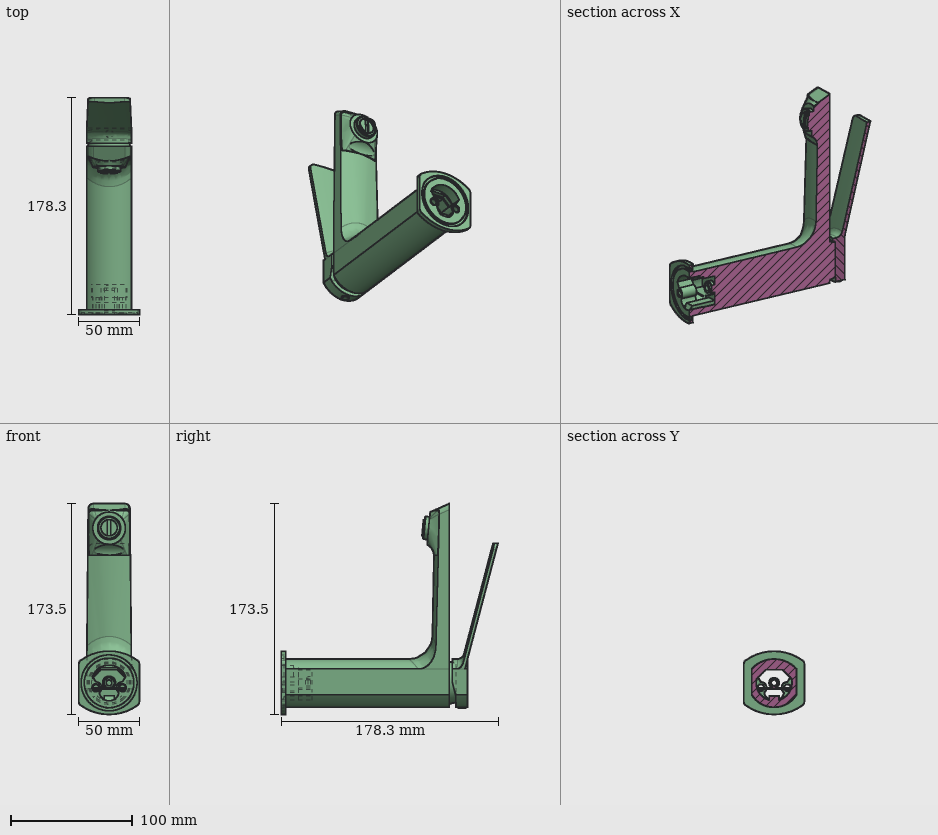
import cadquery as cq
import math

total_length = 178.31
total_height = 173.53

flange_width = 50.0
flange_height = 52.2
flange_thickness = 4.0
flange_corner_z = 17.3
flange_corner_radius = 4.0
ring_groove_outer_radius = 23.0
ring_groove_inner_radius = 20.4
ring_groove_depth = 2.0

column_half_width = 18.5
column_crest_z = 19.7
column_side_top_z = 11.4
column_side_bottom_z = -9.7
column_bottom_z = -20.2
column_end_y = 138.3

arm_tip_z = total_height - flange_height / 2
arm_tip_half_width = 17.2
arm_base_edge_y = 126.8
arm_base_crest_y = 123.7
arm_tip_edge_y = 130.3
arm_tip_crest_y = 126.3
arm_inner_radius = 19.0
tip_slope = 24.2
tip_corner_radius = 4.4

outlet_z = 127.1
outlet_y = 121.2
outlet_radius = 13.4
outlet_tilt = 5.4
head_bottom_z = 97.0
throat_z = 104.7
throat_y = 125.45
throat_radius = 10.0
head_root_y = 130.5
rim_angles = (-135, -45, 34, 40, 140, 146, 225)

aerator_radius = 9.5
aerator_length = 4.0
aerator_bevel = 0.8
insert_radius = 6.7
insert_height = 0.9
coin_slot_width = 3.0
coin_slot_depth = 1.5

cap_base_radius = 17.5
cap_end_radius = 16.3
cap_length = 5.3

pocket_radius = 14.6
pocket_corner_z = 5.2
pocket_lobe_z = -6.6
pocket_lobe_radius = 8.2
pocket_depth = 25.0
ledges = [(12.3, 10.0), (10.7, 14.0)]
ledge_flat_x = 6.8
neck_depth = 14.0
partition_thickness = 1.0
screw_x = 10.9
screw_z = -4.0
screw_points = [(-screw_x, screw_z), (screw_x, screw_z)]
screw_radius = 3.2
screw_core_radius = 2.6
screw_mouth_depth = 1.0
screw_wall_radius = 4.8
spigot_radius = 5.4
spigot_bore_radius = 2.4
spigot_flat_z = -4.2
spigot_length = 5.0
spigot_collar_length = 3.0
spigot_tip_radius = 4.2
spigot_bore_depth = 4.0
ramp_half_width = 4.1
ramp_top_z = -10.7
ramp_run = 3.0

lever_front_y = 140.8
lever_back_y = 153.3
lever_relief_y = 143.6
lever_relief_top_z = 0.0
lever_relief_bottom_z = -11.0
handle_tip_z = 114.8
handle_thickness_y = 4.15
handle_bow = 1.4
handle_tip_half_width = 17.3
handle_corner_radius = 5.0
handle_inner_radius = 5.5
button_y = 148.7
button_radius = 3.2
button_height = 0.7
button_bevel = 0.4


def along_y(y):
    """Sketch plane facing +Y at the given y; local x is -X and local y is Z."""
    return cq.Workplane(cq.Plane((0, y, 0), xDir=(-1, 0, 0), normal=(0, 1, 0)))


def column_section(y_start, y_end):
    """Prism along Y with flat sides and bowed top and bottom."""
    return (
        along_y(y_start)
        .moveTo(-column_half_width, column_side_bottom_z)
        .lineTo(-column_half_width, column_side_top_z)
        .threePointArc((0, column_crest_z), (column_half_width, column_side_top_z))
        .lineTo(column_half_width, column_side_bottom_z)
        .threePointArc((0, column_bottom_z), (-column_half_width, column_side_bottom_z))
        .close()
        .extrude(y_end - y_start)
    )


def flange():
    half_width = flange_width / 2
    half_height = flange_height / 2
    plate = (
        along_y(0)
        .moveTo(-half_width, -flange_corner_z)
        .lineTo(-half_width, flange_corner_z)
        .threePointArc((0, half_height), (half_width, flange_corner_z))
        .lineTo(half_width, -flange_corner_z)
        .threePointArc((0, -half_height), (-half_width, -flange_corner_z))
        .close()
        .extrude(flange_thickness)
        .edges("|Y")
        .fillet(flange_corner_radius)
    )
    groove = (
        along_y(0)
        .circle(ring_groove_outer_radius)
        .circle(ring_groove_inner_radius)
        .extrude(ring_groove_depth)
    )
    return plate.cut(groove)


def bowed_slice(z, half_width, back_y, edge_y, crest_y):
    """Horizontal slice with flat back and sides and a bowed front."""
    return (
        cq.Workplane("XY", origin=(0, 0, z))
        .moveTo(-half_width, back_y)
        .lineTo(-half_width, edge_y)
        .threePointArc((0, crest_y), (half_width, edge_y))
        .lineTo(half_width, back_y)
        .close()
        .wire()
        .val()
    )


def bowed_joint(body, crest_y):
    """Edge where a bowed front rises from the bowed top of the column section."""
    middles = [(edge, edge.positionAt(0.5)) for edge in body.edges().vals()]
    joint = [
        edge for edge, middle in middles
        if abs(middle.z - column_crest_z) < 0.1 and abs(middle.y - crest_y) < 0.5
    ]
    return body.newObject(joint)


def arm():
    slices = [
        bowed_slice(column_side_top_z, column_half_width, column_end_y, arm_base_edge_y, arm_base_crest_y),
        bowed_slice(arm_tip_z, arm_tip_half_width, column_end_y, arm_tip_edge_y, arm_tip_crest_y),
    ]
    above_slant = (
        cq.Workplane("YZ")
        .moveTo(column_end_y, arm_tip_z)
        .lineTo(0, slant_z(0))
        .lineTo(0, arm_tip_z)
        .close()
        .extrude(column_half_width, both=True)
    )
    end_corners = cq.selectors.BoxSelector(
        (-column_half_width, arm_tip_crest_y, slant_z(arm_tip_crest_y) - 1),
        (column_half_width, column_end_y, arm_tip_z),
    )
    return (
        cq.Workplane(cq.Solid.makeLoft(slices, True))
        .cut(above_slant)
        .edges(end_corners)
        .edges("not(|X)")
        .edges("<X or >X")
        .fillet(tip_corner_radius)
    )


def arm_half_width(z):
    """Half the width of the tapering arm at height z."""
    rise = (z - column_side_top_z) / (arm_tip_z - column_side_top_z)
    return column_half_width + rise * (arm_tip_half_width - column_half_width)


def slant_z(y):
    """Height of the slanted spout end at the given y."""
    return arm_tip_z - (column_end_y - y) * math.tan(math.radians(tip_slope))


def column_with_arm():
    """Column and spout arm with the round between them along their bowed faces."""
    column = column_section(flange_thickness, column_end_y).union(arm())
    return bowed_joint(column, arm_base_crest_y).fillet(arm_inner_radius)


def outlet_plane():
    """Tilted plane of the outlet, looking away from the arm."""
    tilt = math.radians(outlet_tilt)
    return cq.Plane(
        (0, outlet_y, outlet_z),
        xDir=(1, 0, 0),
        normal=(0, -math.cos(tilt), math.sin(tilt)),
    )


def mouth_point(angle):
    """Point on the outlet rim, angle in degrees from +X."""
    turn = math.radians(angle)
    return outlet_radius * math.cos(turn), outlet_radius * math.sin(turn)


def head():
    """Flared head running from the front of the arm to the round outlet."""
    top_z = slant_z(arm_tip_edge_y)
    round_z = top_z - tip_corner_radius
    flat_x = arm_tip_half_width - tip_corner_radius
    corner_step = tip_corner_radius * math.sqrt(0.5)
    bottom_x = arm_half_width(head_bottom_z)
    root = (
        cq.Workplane("XZ", origin=(0, head_root_y, 0))
        .moveTo(-bottom_x, head_bottom_z)
        .lineTo(bottom_x, head_bottom_z)
        .lineTo(arm_tip_half_width, round_z)
        .threePointArc((flat_x + corner_step, round_z + corner_step), (flat_x, top_z))
        .lineTo(-flat_x, top_z)
        .threePointArc((-flat_x - corner_step, round_z + corner_step), (-arm_tip_half_width, round_z))
        .close()
        .wire()
        .val()
    )
    rim = cq.Workplane(outlet_plane()).moveTo(*mouth_point(rim_angles[0]))
    for start, end in zip(rim_angles, rim_angles[1:]):
        rim = rim.threePointArc(mouth_point((start + end) / 2), mouth_point(end))
    mouth = rim.wire().val()
    throat = (
        cq.Workplane("YZ")
        .moveTo(throat_y - throat_radius, throat_z)
        .circle(throat_radius)
        .extrude(outlet_radius + arm_tip_half_width, both=True)
    )
    below = (
        cq.Workplane("XY", origin=(0, 0, throat_z))
        .rect(4 * arm_tip_half_width, 4 * column_end_y)
        .extrude(head_bottom_z - throat_z)
    )
    return cq.Workplane(cq.Solid.makeLoft([root, mouth], True)).cut(throat).cut(below)


def aerator():
    """Bevelled disc with a raised round insert split by a coin slot."""
    disc = (
        cq.Workplane(outlet_plane())
        .circle(aerator_radius)
        .extrude(aerator_length)
        .faces("<Y")
        .chamfer(aerator_bevel)
    )
    insert = cq.Workplane(outlet_plane()).circle(insert_radius).extrude(aerator_length + insert_height)
    slot = (
        cq.Workplane(outlet_plane())
        .workplane(offset=aerator_length + insert_height - coin_slot_depth)
        .rect(coin_slot_width, 2 * insert_radius)
        .extrude(coin_slot_depth)
    )
    return disc.union(insert).cut(slot)


def cap():
    """Tapered cartridge cap on the back of the column."""
    return (
        along_y(column_end_y)
        .circle(cap_base_radius)
        .workplane(offset=cap_length)
        .circle(cap_end_radius)
        .loft(combine=True)
    )


def supply_pocket():
    """Pocket in the flange face with a shallow top ledge and a ramp at the bottom."""
    corner_x = math.sqrt(pocket_radius ** 2 - pocket_corner_z ** 2)
    screw_wall_top_z = screw_z + screw_wall_radius
    upper = (
        along_y(0)
        .moveTo(-corner_x, pocket_corner_z)
        .threePointArc((0, pocket_radius), (corner_x, pocket_corner_z))
        .lineTo(screw_x, screw_wall_top_z)
        .lineTo(screw_x - screw_wall_radius, screw_z)
        .lineTo(-screw_x + screw_wall_radius, screw_z)
        .lineTo(-screw_x, screw_wall_top_z)
        .close()
        .extrude(pocket_depth)
    )
    lobe = along_y(0).center(0, pocket_lobe_z).circle(pocket_lobe_radius).extrude(pocket_depth)
    screw_walls = along_y(0).pushPoints(screw_points).circle(screw_wall_radius).extrude(pocket_depth)
    ramp = (
        cq.Workplane("YZ")
        .moveTo(0, pocket_lobe_z - pocket_lobe_radius)
        .lineTo(ramp_run, ramp_top_z)
        .lineTo(pocket_depth, ramp_top_z)
        .lineTo(pocket_depth, -pocket_radius - 1)
        .lineTo(0, -pocket_radius - 1)
        .close()
        .extrude(ramp_half_width, both=True)
    )
    chamber = along_y(neck_depth).circle(pocket_radius).extrude(pocket_depth - neck_depth)
    partition = (
        along_y(neck_depth)
        .center(0, spigot_flat_z - partition_thickness / 2)
        .rect(2 * pocket_radius, partition_thickness)
        .extrude(pocket_depth - neck_depth)
    )
    pocket = upper.union(lobe).cut(screw_walls).union(chamber)
    pocket = pocket.cut(partition).cut(ramp).cut(spigot())
    for height, depth in ledges:
        pocket = pocket.cut(pocket_ledge(height, depth))
    return pocket


def pocket_ledge(height, depth):
    """Filling above the given height, with ends that slope down at 45 degrees."""
    drop = pocket_radius - ledge_flat_x
    return (
        along_y(depth)
        .moveTo(-pocket_radius, height - drop)
        .lineTo(-ledge_flat_x, height)
        .lineTo(ledge_flat_x, height)
        .lineTo(pocket_radius, height - drop)
        .lineTo(pocket_radius, pocket_radius + 1)
        .lineTo(-pocket_radius, pocket_radius + 1)
        .close()
        .extrude(pocket_depth - depth)
    )


def spigot():
    """Bored round stub with a flat underside, standing on the pocket floor."""
    collar = along_y(pocket_depth - spigot_collar_length).circle(spigot_radius).extrude(spigot_collar_length)
    tip = along_y(pocket_depth - spigot_length).circle(spigot_tip_radius).extrude(spigot_length)
    flat = (
        along_y(0)
        .center(0, spigot_flat_z - spigot_radius)
        .rect(2 * spigot_radius, 2 * spigot_radius)
        .extrude(pocket_depth)
    )
    bore = along_y(pocket_depth - spigot_length).circle(spigot_bore_radius).extrude(spigot_bore_depth)
    return collar.union(tip).cut(flat).cut(bore)


def screw_holes():
    mouths = along_y(0).pushPoints(screw_points).circle(screw_radius).extrude(screw_mouth_depth)
    cores = along_y(0).pushPoints(screw_points).circle(screw_core_radius).extrude(neck_depth)
    return mouths.union(cores)


def faucet_housing():
    return (
        column_with_arm()
        .union(head())
        .union(aerator())
        .union(flange())
        .union(cap())
        .cut(supply_pocket())
        .cut(screw_holes())
    )


def handle():
    """Leaning plate with a bowed front, tapering in width towards its tip."""
    lean = (total_length - lever_back_y) / (handle_tip_z - column_crest_z)

    def plate_slice(z, half_width):
        back_y = total_length - lean * (handle_tip_z - z)
        crest_y = back_y - handle_thickness_y
        return bowed_slice(z, half_width, back_y, crest_y + handle_bow, crest_y)

    slices = [
        plate_slice(column_side_top_z, column_half_width),
        plate_slice(handle_tip_z, handle_tip_half_width),
    ]
    return (
        cq.Workplane(cq.Solid.makeLoft(slices, True))
        .faces(">Z")
        .edges("<X or >X")
        .fillet(handle_corner_radius)
    )


def lever():
    block = column_section(lever_front_y, lever_back_y).union(handle())
    relief = (
        cq.Workplane("YZ")
        .moveTo(lever_front_y, lever_relief_top_z)
        .lineTo(lever_relief_y, lever_relief_bottom_z)
        .lineTo(lever_relief_y, column_bottom_z)
        .lineTo(lever_front_y, column_bottom_z)
        .close()
        .extrude(column_half_width, both=True)
    )
    button = (
        cq.Workplane("XY", origin=(0, button_y, column_bottom_z - button_height))
        .circle(button_radius)
        .extrude(2 * button_height)
        .faces("<Z")
        .chamfer(button_bevel)
    )
    return (
        bowed_joint(block, lever_back_y - handle_thickness_y)
        .fillet(handle_inner_radius)
        .cut(relief)
        .union(button)
        .cut(cap())
    )


result = cq.Compound.makeCompound([faucet_housing().val(), lever().val()])